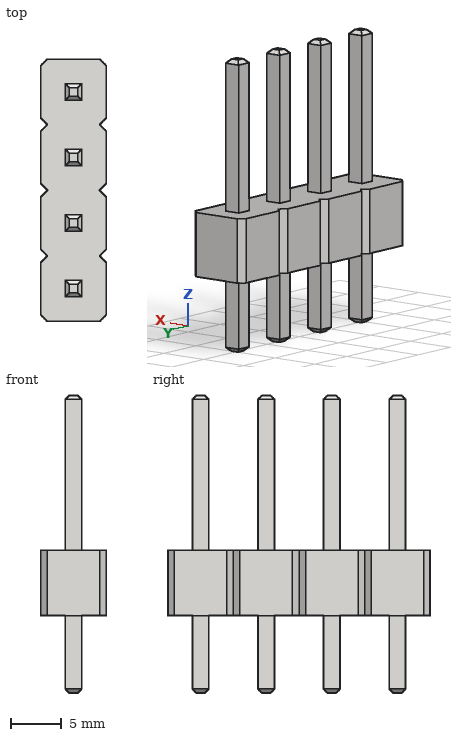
import cadquery as cq

pin_count = 4
body_length = 25.82
body_width = 6.45
body_height = 6.45
corner_cut = 0.65
pin_side = 1.65
pin_length = 29.3
pin_below_body = 7.62
tip_chamfer = 0.4

pitch = body_length / pin_count
row_start = -(pin_count - 1) * pitch / 2
pin_positions = [row_start + index * pitch for index in range(pin_count)]


def housing_cell(y):
    """One housing block with its four vertical edges cut, resting on Z = 0."""
    return (
        cq.Workplane("XY")
        .center(0, y)
        .rect(body_width, pitch)
        .extrude(body_height)
        .edges("|Z")
        .chamfer(corner_cut)
    )


def pin(y):
    """One square pin through the housing, tapered at both ends."""
    return (
        cq.Workplane("XY", origin=(0, y, -pin_below_body))
        .rect(pin_side, pin_side)
        .extrude(pin_length)
        .faces("<Z or >Z")
        .edges()
        .chamfer(tip_chamfer)
    )


result = cq.Workplane("XY")
for y in pin_positions:
    result = result.add(housing_cell(y)).add(pin(y))
result = result.combine(clean=True)